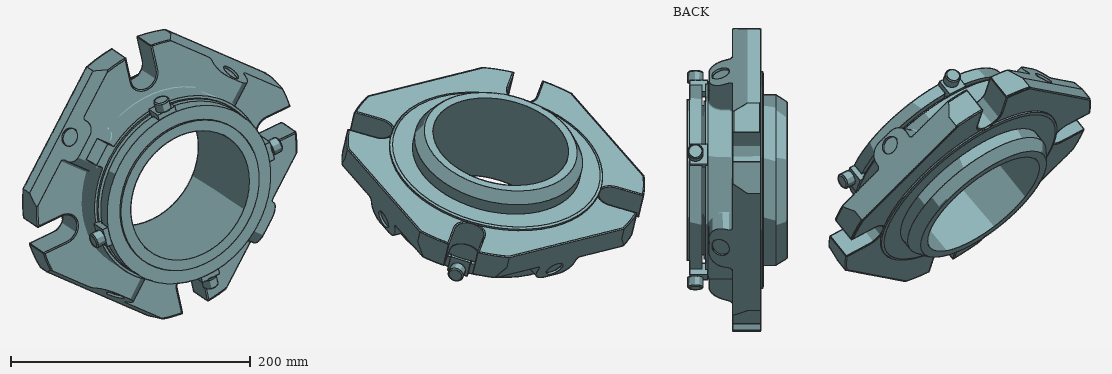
import cadquery as cq
import math


total_length = 83.5
bore_dia = 115.0

nose_tip_dia = 131.6
nose_dia = 142.5
nose_taper_length = 9.5
nose_edge_chamfer = 1.0
neck_dia = 131.6
neck_back = 69.5
groove_dia = 124.5
tail_dia = 134.0

gasket_front = 19.7
gasket_face_dia = 176.0
gasket_dia = 180.7
gasket_bevel = 0.8

plate_front = 22.0
plate_back = 45.7
plate_dia = 252.7
flat_distance = 112.5
flat_angles = [57.7 + 90 * turn for turn in range(4)]
bevel_start = 33.0
bevel_angle = 18.0
plate_chamfer_depth = 1.3
plate_chamfer_width = 0.5
slot_mouth_chamfer = 0.5

slot_width = 24.8
slot_bottom_radius = 89.7
slot_angles = [angle - 45 for angle in flat_angles]

body_dia = 164.7
body_back = 66.0
body_root_fillet = 1.09
end_disc_dia = 160.2
end_disc_back = 68.0

ring_dia = 158.7
ring_front = 71.0
ring_back = 81.4

lug_width = 37.5
lug_root_fillet = 2.8
lug_inner_radius = 65.7
tall_lug_back = 65.2
tall_lug_corner = 12.1
tall_port_x = 55.5
low_lug_index = 1
low_lug_back = 59.0
low_lug_corner = 8.8
low_port_x = 42.5
port_dia = 15.5
port_depth = 2.0

wedge_width = 20.2
wedge_top_radius = 95.8

clip_angles = [15 + 90 * turn for turn in range(4)]
clip_width = 17.2
clip_inner_radius = 74.0
clip_outer_radius = 84.0
clip_front = 66.5
clip_back = 81.0
screw_x = 76.5
screw_head_dia = 13.0
screw_head_top = 93.2
screw_head_height = 8.8
screw_head_chamfer = 1.0
screw_neck_dia = 7.5


def turned(shape, angle):
    return shape.rotate((0, 0, 0), (1, 0, 0), angle)


def disc(diameter, start, end):
    return cq.Workplane("YZ", origin=(start, 0, 0)).circle(diameter / 2).extrude(end - start)


def facing_outward(x, radius):
    """Workplane at a radius on the +Y side: local x runs along +X, its normal along +Y."""
    return cq.Workplane(cq.Plane(origin=(x, radius, 0), xDir=(1, 0, 0), normal=(0, 1, 0)))


def bevel_distance(x):
    """Distance of the bevelled flat from the axis at a place along X."""
    return flat_distance - (x - bevel_start) * math.tan(math.radians(bevel_angle))


def flat_cutter():
    """Everything outside one flat and its bevel."""
    far = plate_dia
    cutter_end = total_length
    return (
        cq.Workplane("XY", origin=(0, 0, -far))
        .moveTo(0, flat_distance)
        .lineTo(bevel_start, flat_distance)
        .lineTo(cutter_end, bevel_distance(cutter_end))
        .lineTo(cutter_end, far)
        .lineTo(0, far)
        .close()
        .extrude(2 * far)
    )


def bolt_slot():
    """Round-bottomed slot open at the rim."""
    centre_radius = slot_bottom_radius + slot_width / 2
    thickness = plate_back - plate_front
    reach = plate_dia / 2
    channel = cq.Workplane("XY").box(thickness, reach, slot_width, centered=(False, False, True))
    channel = channel.translate((plate_front, centre_radius, 0))
    bottom = disc(slot_width, plate_front, plate_back).translate((0, centre_radius, 0))
    return channel.union(bottom)


def slot_mouth():
    """Flared prism that chamfers the two corners between a slot and the rim."""
    half = slot_width / 2
    flare = 2 * slot_mouth_chamfer
    start = math.sqrt((plate_dia / 2) ** 2 - half**2) - slot_mouth_chamfer
    return (
        cq.Workplane("YZ", origin=(plate_front, 0, 0))
        .moveTo(start, -half)
        .lineTo(start + flare, -half - flare)
        .lineTo(start + flare, half + flare)
        .lineTo(start, half)
        .close()
        .extrude(plate_back - plate_front)
    )


def gland_plate():
    """Round plate with four flats and four slots. The flats are chamfered at the front only."""
    slotted = disc(plate_dia, plate_front, plate_back)
    for angle in slot_angles:
        slotted = slotted.cut(turned(bolt_slot(), angle))
    slotted = slotted.faces("<X or >X").chamfer(plate_chamfer_depth, plate_chamfer_width)
    for angle in slot_angles:
        slotted = slotted.cut(turned(slot_mouth(), angle))
    outline = disc(plate_dia, plate_front, plate_back)
    for angle in flat_angles:
        outline = outline.cut(turned(flat_cutter(), angle))
    outline = outline.faces("<X").chamfer(plate_chamfer_depth, plate_chamfer_width)
    return outline.intersect(slotted)


def lug(back, corner):
    """Rounded lug with a flared root, standing on the plate under a bevelled flat."""
    half = lug_width / 2
    root = lug_root_fillet
    arc_mid = 1 - math.sqrt(0.5)
    shape = (
        facing_outward(0, lug_inner_radius)
        .moveTo(bevel_start, -half - root)
        .lineTo(plate_back, -half - root)
        .threePointArc((plate_back + root * arc_mid, -half - root * arc_mid), (plate_back + root, -half))
        .lineTo(back - corner, -half)
        .threePointArc((back - corner * arc_mid, -half + corner * arc_mid), (back, -half + corner))
        .lineTo(back, half - corner)
        .threePointArc((back - corner * arc_mid, half - corner * arc_mid), (back - corner, half))
        .lineTo(plate_back + root, half)
        .threePointArc((plate_back + root * arc_mid, half + root * arc_mid), (plate_back, half + root))
        .lineTo(bevel_start, half + root)
        .close()
        .extrude(plate_dia / 2 - lug_inner_radius)
    )
    return shape.cut(flat_cutter())


def port(x):
    """Shallow round recess square to the bevelled face."""
    tilt = math.radians(bevel_angle)
    outward = cq.Vector(math.sin(tilt), math.cos(tilt), 0)
    floor = cq.Vector(x, bevel_distance(x), 0) - outward * port_depth
    plane = cq.Plane(origin=floor, xDir=(0, 0, 1), normal=outward)
    return cq.Workplane(plane).circle(port_dia / 2).extrude(2 * port_depth)


def wedge():
    """Sloping rib between the low lug and the end of the body."""
    run = body_back - low_lug_back
    return (
        cq.Workplane("XY", origin=(0, 0, -wedge_width / 2))
        .moveTo(low_lug_back, lug_inner_radius)
        .lineTo(low_lug_back, wedge_top_radius)
        .lineTo(body_back, wedge_top_radius - run)
        .lineTo(body_back, lug_inner_radius)
        .close()
        .extrude(wedge_width)
    )


def sleeve():
    nose_radius = nose_dia / 2
    tip_radius = nose_tip_dia / 2
    return (
        cq.Workplane("XY")
        .moveTo(0, 0)
        .lineTo(0, tip_radius - nose_edge_chamfer)
        .lineTo(nose_edge_chamfer, tip_radius)
        .lineTo(nose_taper_length, nose_radius)
        .lineTo(gasket_front, nose_radius)
        .lineTo(gasket_front, neck_dia / 2)
        .lineTo(neck_back, neck_dia / 2)
        .lineTo(neck_back, groove_dia / 2)
        .lineTo(ring_front, groove_dia / 2)
        .lineTo(ring_front, tail_dia / 2)
        .lineTo(total_length, tail_dia / 2)
        .lineTo(total_length, 0)
        .close()
        .revolve(360, (0, 0, 0), (1, 0, 0))
    )


def gasket():
    face_step = (gasket_dia - gasket_face_dia) / 2
    return disc(gasket_dia, gasket_front, plate_front).faces("<X").chamfer(gasket_bevel, face_step)


def setting_clip():
    """Block bridging the gap from the body to over the lock ring, with its screw."""
    length = clip_back - clip_front
    height = clip_outer_radius - clip_inner_radius
    block = cq.Workplane("XY").box(length, height, clip_width, centered=(False, False, True))
    block = block.translate((clip_front, clip_inner_radius, 0))
    head_bottom = screw_head_top - screw_head_height
    neck = facing_outward(screw_x, clip_inner_radius).circle(screw_neck_dia / 2)
    neck = neck.extrude(head_bottom - clip_inner_radius)
    head = facing_outward(screw_x, head_bottom).circle(screw_head_dia / 2).extrude(screw_head_height)
    head = head.faces(">Y").chamfer(screw_head_chamfer)
    return block.union(neck).union(head)


def on_body(point):
    return math.isclose(math.hypot(point.y, point.z), body_dia / 2, abs_tol=0.003)


def root_edges(shape):
    """Edges on the outside of the body where the plate and the lugs meet it."""
    return [
        edge
        for edge in shape.edges().vals()
        if edge.BoundingBox().xmax < body_back
        and all(on_body(edge.positionAt(place)) for place in (0, 0.5, 1))
    ]


result = gland_plate().union(disc(body_dia, plate_back, total_length))

for index, angle in enumerate(flat_angles):
    if index == low_lug_index:
        result = result.union(turned(lug(low_lug_back, low_lug_corner), angle))
    else:
        result = result.union(turned(lug(tall_lug_back, tall_lug_corner), angle))

result = result.newObject(root_edges(result)).fillet(body_root_fillet)
result = result.cut(disc(plate_dia, body_back, total_length))

result = result.union(gasket()).union(sleeve())
result = result.union(disc(end_disc_dia, body_back, end_disc_back))
result = result.union(disc(ring_dia, ring_front, ring_back))

for index, angle in enumerate(flat_angles):
    if index == low_lug_index:
        result = result.union(turned(lug(low_lug_back, low_lug_corner), angle))
        result = result.union(turned(wedge(), angle))
        result = result.cut(turned(port(low_port_x), angle))
    else:
        result = result.union(turned(lug(tall_lug_back, tall_lug_corner), angle))
        result = result.cut(turned(port(tall_port_x), angle))

for angle in clip_angles:
    result = result.union(turned(setting_clip(), angle))

result = result.cut(disc(bore_dia, 0, total_length))